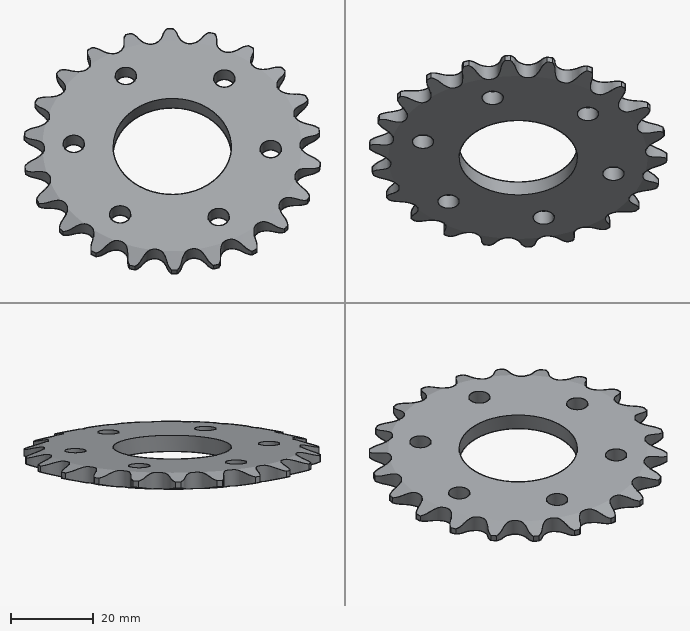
import cadquery as cq
import math


tooth_count = 22
outer_diameter = 71.95
thickness = 4.0
bore_diameter = 28.6

bolt_hole_count = 6
bolt_hole_diameter = 5.1
bolt_circle_radius = 23.8
first_bolt_angle = 90.0

bevel_start_radius = 31.3
tip_thickness = 1.5

roller_to_pitch = 8 / 15
tip_height_factor = 0.6
seating_factor = 0.5025
working_offset_factor = 0.8
topping_offset_factor = 1.4
seating_clearance = 0.035

half_tooth_angle = math.pi / tooth_count
tooth_angle = 2 * half_tooth_angle
outer_radius = outer_diameter / 2
chain_pitch = outer_diameter / (tip_height_factor + 1 / math.tan(half_tooth_angle))
pitch_radius = chain_pitch / (2 * math.sin(half_tooth_angle))
roller_diameter = roller_to_pitch * chain_pitch

seating_angle = math.radians(35 + 60 / tooth_count)
working_angle = math.radians(18 - 56 / tooth_count)
topping_angle = math.radians(17 - 64 / tooth_count)
working_offset = working_offset_factor * roller_diameter
topping_offset = topping_offset_factor * roller_diameter
seating_radius = seating_factor * roller_diameter + seating_clearance
working_radius = working_offset + seating_radius
topping_radius = (
    working_offset * math.cos(working_angle)
    + topping_offset * math.cos(topping_angle)
    - working_radius
)
straight_length = topping_offset * math.sin(topping_angle) - working_offset * math.sin(working_angle)


def polar(center, radius, angle):
    """Point at a distance and angle (radians) from a center."""
    return (center[0] + radius * math.cos(angle), center[1] + radius * math.sin(angle))


def direction(center, point):
    """Angle from a center to a point, between 0 and a full turn."""
    return math.atan2(point[1] - center[1], point[0] - center[0]) % (2 * math.pi)


def turned(point, angle):
    """Point turned about the sprocket axis."""
    x, y = point
    return (
        x * math.cos(angle) - y * math.sin(angle),
        x * math.sin(angle) + y * math.cos(angle),
    )


def mirrored(point):
    """Point mirrored across the Y axis."""
    return (-point[0], point[1])


def flank_points():
    """Right flank of the tooth space on the +Y axis, from the seating arc out to the tip.

    The working and topping arcs are each given by their middle point and end point.
    """
    roller_center = (0.0, pitch_radius)
    seat_end = polar(roller_center, seating_radius, -seating_angle)

    working_center = polar(roller_center, working_offset, math.pi - seating_angle)
    working_end_angle = working_angle - seating_angle
    working_middle = polar(working_center, working_radius, working_angle / 2 - seating_angle)
    working_end = polar(working_center, working_radius, working_end_angle)
    straight_end = polar(working_end, straight_length, working_end_angle + math.pi / 2)

    topping_center = polar(roller_center, topping_offset, -half_tooth_angle)
    upright_center = turned(topping_center, half_tooth_angle)
    tip_rise = outer_radius - upright_center[1]
    tip_x = upright_center[0] - math.sqrt(topping_radius**2 - tip_rise**2)
    tip = turned((tip_x, outer_radius), -half_tooth_angle)
    tip_angle = direction(topping_center, tip)
    start_angle = direction(topping_center, straight_end)
    topping_middle = polar(topping_center, topping_radius, (start_angle + tip_angle) / 2)

    return [seat_end, working_middle, working_end, straight_end, topping_middle, tip]


def toothed_plate():
    """Flat plate with the full outline of flat-tipped teeth, one tooth centered on the +Y axis."""
    right_flank = flank_points()
    left_flank = [mirrored(point) for point in right_flank]
    root = (0.0, pitch_radius - seating_radius)

    first_turn = -half_tooth_angle
    outline = cq.Workplane("XY", origin=(0, 0, -thickness / 2))
    outline = outline.moveTo(*turned(right_flank[-1], first_turn))
    for index in range(tooth_count):
        turn = first_turn + index * tooth_angle
        seat_r, work_mid_r, work_r, straight_r, top_mid_r, _ = [turned(p, turn) for p in right_flank]
        seat_l, work_mid_l, work_l, straight_l, top_mid_l, tip_l = [turned(p, turn) for p in left_flank]
        next_tip = turned(right_flank[-1], turn + tooth_angle)
        outline = (
            outline.threePointArc(top_mid_r, straight_r)
            .lineTo(*work_r)
            .threePointArc(work_mid_r, seat_r)
            .threePointArc(turned(root, turn), seat_l)
            .threePointArc(work_mid_l, work_l)
            .lineTo(*straight_l)
            .threePointArc(top_mid_l, tip_l)
            .lineTo(*next_tip)
        )
    return outline.close().extrude(thickness)


def bevelled_disc():
    """Turned blank, full thickness inside and tapering to the tooth tips."""
    half_thickness = thickness / 2
    half_tip = tip_thickness / 2
    blank_radius = math.hypot(*flank_points()[-1])
    section = [
        (0, -half_thickness),
        (bevel_start_radius, -half_thickness),
        (blank_radius, -half_tip),
        (blank_radius, half_tip),
        (bevel_start_radius, half_thickness),
        (0, half_thickness),
    ]
    return cq.Workplane("XZ").polyline(section).close().revolve(360, (0, 0, 0), (0, 1, 0))


def through_holes():
    """Center bore and the ring of bolt holes."""
    cut_length = 2 * thickness
    bottom = cq.Workplane("XY", origin=(0, 0, -cut_length / 2))
    bore = bottom.circle(bore_diameter / 2).extrude(cut_length)
    bolts = (
        bottom.polarArray(bolt_circle_radius, first_bolt_angle, 360, bolt_hole_count)
        .circle(bolt_hole_diameter / 2)
        .extrude(cut_length)
    )
    return bore.union(bolts)


result = bevelled_disc().intersect(toothed_plate()).cut(through_holes())